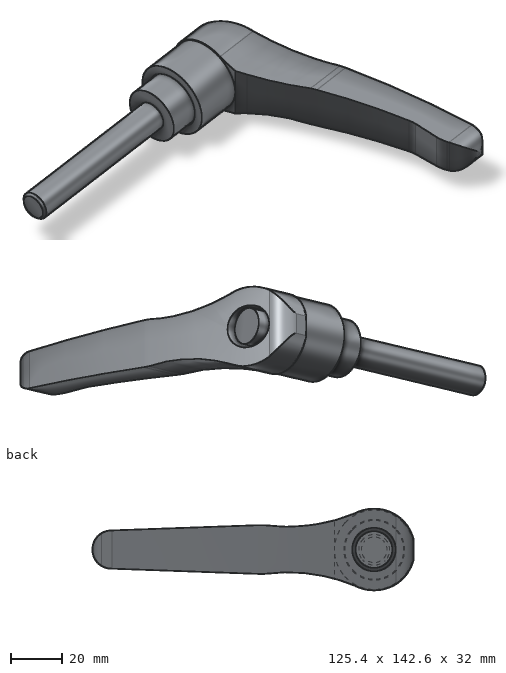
import cadquery as cq
import math


stud_diameter = 12.0
stud_length = 70.0
stud_chamfer = 1.0
bushing_diameter = 23.0
bushing_projection = 12.0
recess_diameter = 23.7
recess_depth = 4.0
hub_diameter = 31.0
hub_height = 19.6

button_diameter = 14.3
button_top = 36.9
button_bore_diameter = 17.0
button_bore_floor = hub_height

head_radius = 16.0
tip_radius = 7.5
handle_end = 109.91
flank_start_x = 7.5
waist = (25.15, 9.45)
swell_start = (42.8, 9.55)
swell_end = (45.2, 9.55)

handle_top = 60.63
hub_radius = hub_diameter / 2
crown_start_y = 24.9
crown_middle = (-13.5, 29.8)
back_start = (-8.5, 32.75)
back_middle = (46.3, 51.2)
nose_top_x = 106.4
nose_top_middle = (109.0, 59.5)
nose_front_y = 56.5
nose_bottom_middle = (107.3, 50.2)
lip_end = (102.6, 47.0)
lip_start = (101.6, 46.65)
lip_blend_middle = (99.3, 46.12)
grip_start_x = 86.0
grip_end_x = 96.9
grip_y = 45.95
belly_middle = (48.0, 35.0)
belly_end = (82.9, 45.5)
ramp_end = (19.6, 21.9)


def cylinder_along_y(diameter, y_start, y_end):
    """Solid cylinder on the stud axis between two Y positions."""
    return (
        cq.Workplane("XZ", origin=(0, y_start, 0))
        .circle(diameter / 2)
        .extrude(y_start - y_end)
    )


def mirrored(point):
    """The same outline point on the opposite side of the handle."""
    return (point[0], -point[1])


def handle_outline():
    """Handle outline extruded along Y: round head, waist, swell and round tip."""
    flank_start = (flank_start_x, math.sqrt(head_radius**2 - flank_start_x**2))
    tip_start = (handle_end - tip_radius, tip_radius)
    return (
        cq.Workplane("XZ")
        .moveTo(*flank_start)
        .threePointArc(waist, swell_start)
        .lineTo(*swell_end)
        .lineTo(*tip_start)
        .threePointArc((handle_end, 0), mirrored(tip_start))
        .lineTo(*mirrored(swell_end))
        .lineTo(*mirrored(swell_start))
        .threePointArc(mirrored(waist), mirrored(flank_start))
        .threePointArc((-head_radius, 0), flank_start)
        .close()
        .extrude(-handle_top)
    )


def handle_profile():
    """Handle profile extruded along Z: arched back, hollow belly and blunt nose."""
    return (
        cq.Workplane("XY")
        .moveTo(-hub_radius, hub_height)
        .lineTo(-hub_radius, crown_start_y)
        .threePointArc(crown_middle, back_start)
        .threePointArc(back_middle, (handle_end - tip_radius, handle_top))
        .lineTo(nose_top_x, handle_top)
        .threePointArc(nose_top_middle, (handle_end, nose_front_y))
        .threePointArc(nose_bottom_middle, lip_end)
        .lineTo(*lip_start)
        .threePointArc(lip_blend_middle, (grip_end_x, grip_y))
        .lineTo(grip_start_x, grip_y)
        .tangentArcPoint(belly_end, relative=False)
        .threePointArc(belly_middle, ramp_end)
        .lineTo(hub_radius, hub_height)
        .close()
        .extrude(head_radius, both=True)
    )


def make_handle():
    """Handle with the bore for the button through the top of its head."""
    handle = handle_outline().intersect(handle_profile())
    return handle.cut(cylinder_along_y(button_bore_diameter, button_bore_floor, handle_top))


def make_hub():
    """Plain hub with a shallow recess around the bushing."""
    hub = cylinder_along_y(hub_diameter, 0, hub_height)
    return hub.cut(cylinder_along_y(recess_diameter, 0, recess_depth))


def make_stud():
    """Stud with a chamfered free end."""
    stud_end = -bushing_projection - stud_length
    stud = cylinder_along_y(stud_diameter, stud_end, 0)
    return stud.faces("<Y").chamfer(stud_chamfer)


bushing = cylinder_along_y(bushing_diameter, -bushing_projection, recess_depth)
button = cylinder_along_y(button_diameter, button_bore_floor, button_top)

result = make_hub().union(make_handle()).union(bushing).union(make_stud()).union(button)